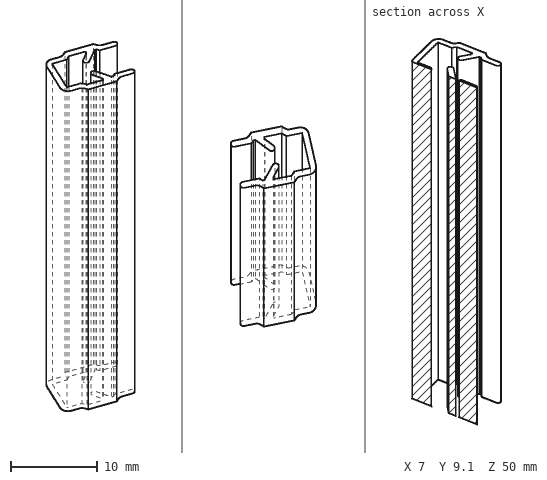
import cadquery as cq
import math

LENGTH = 50.0
WIDTH = 7.0
DEPTH = 9.1

WALL = 0.75
NECK_HALF_WIDTH = 2.95
BASE_CORNER_RADIUS = 1.0

BULGE_BOTTOM = 2.9
BULGE_TOP = 6.5
SHOULDER_RADIUS = 0.8

POCKET_HALF_WIDTH = 2.65
POCKET_BOTTOM = 3.05
POCKET_TOP = 5.15
GROOVE_HALF_WIDTH = 2.5
GROOVE_TOP = 6.45

BARB_THICKNESS = WALL
BARB_ANGLE_DEG = 40.0
BARB_TIP_X = 1.15
BARB_TIP_Y = 4.6

bulge_half_width = WIDTH / 2
arm_inner = NECK_HALF_WIDTH - WALL
arm_tip_radius = WALL / 2
arm_centre = NECK_HALF_WIDTH - arm_tip_radius

cos45 = math.sqrt(0.5)
corner_offset = BASE_CORNER_RADIUS * (1 - cos45)

arc_width = SHOULDER_RADIUS * (1 - cos45)
arc_height = SHOULDER_RADIUS * cos45
arc_mid_width = SHOULDER_RADIUS * (1 - math.cos(math.pi / 8))
arc_mid_height = SHOULDER_RADIUS * math.sin(math.pi / 8)
slope_run = bulge_half_width - NECK_HALF_WIDTH - arc_width
lower_neck_end = BULGE_BOTTOM - slope_run - arc_height
upper_neck_start = BULGE_TOP + slope_run + arc_height

groove_depth = GROOVE_HALF_WIDTH - arm_inner
barb_radius = BARB_THICKNESS / 2
barb_angle = math.radians(BARB_ANGLE_DEG)
tip_cos = barb_radius * math.cos(barb_angle)
tip_sin = barb_radius * math.sin(barb_angle)
barb_slope = math.tan(barb_angle)
barb_half_height = barb_radius / math.cos(barb_angle)
barb_top_y = BARB_TIP_Y + barb_half_height + (GROOVE_HALF_WIDTH - BARB_TIP_X) * barb_slope
barb_root_x = BARB_TIP_X + (POCKET_TOP - BARB_TIP_Y + barb_half_height) / barb_slope


def right_half_profile():
    """Closed outline of the +X half of the section."""
    outline = cq.Workplane("XY").moveTo(0, 0)

    outline = (
        outline.lineTo(NECK_HALF_WIDTH - BASE_CORNER_RADIUS, 0)
        .threePointArc(
            (NECK_HALF_WIDTH - corner_offset, corner_offset),
            (NECK_HALF_WIDTH, BASE_CORNER_RADIUS),
        )
        .lineTo(NECK_HALF_WIDTH, lower_neck_end)
    )

    outline = (
        outline.threePointArc(
            (NECK_HALF_WIDTH + arc_mid_width, lower_neck_end + arc_mid_height),
            (NECK_HALF_WIDTH + arc_width, lower_neck_end + arc_height),
        )
        .lineTo(bulge_half_width, BULGE_BOTTOM)
        .lineTo(bulge_half_width, BULGE_TOP)
        .lineTo(NECK_HALF_WIDTH + arc_width, upper_neck_start - arc_height)
        .threePointArc(
            (NECK_HALF_WIDTH + arc_mid_width, upper_neck_start - arc_mid_height),
            (NECK_HALF_WIDTH, upper_neck_start),
        )
    )

    outline = (
        outline.lineTo(NECK_HALF_WIDTH, DEPTH - arm_tip_radius)
        .threePointArc((arm_centre, DEPTH), (arm_inner, DEPTH - arm_tip_radius))
        .lineTo(arm_inner, GROOVE_TOP + groove_depth)
    )

    outline = (
        outline.lineTo(GROOVE_HALF_WIDTH, GROOVE_TOP)
        .lineTo(GROOVE_HALF_WIDTH, barb_top_y)
        .lineTo(BARB_TIP_X - tip_sin, BARB_TIP_Y + tip_cos)
        .threePointArc(
            (BARB_TIP_X - tip_cos, BARB_TIP_Y - tip_sin),
            (BARB_TIP_X + tip_sin, BARB_TIP_Y - tip_cos),
        )
        .lineTo(barb_root_x, POCKET_TOP)
        .lineTo(POCKET_HALF_WIDTH, POCKET_TOP)
    )

    return (
        outline.lineTo(POCKET_HALF_WIDTH, POCKET_BOTTOM)
        .lineTo(arm_inner, POCKET_BOTTOM - (POCKET_HALF_WIDTH - arm_inner))
        .lineTo(arm_inner, WALL)
        .lineTo(0, WALL)
        .close()
    )


right_half = right_half_profile().extrude(LENGTH)
result = right_half.union(right_half.mirror("YZ")).clean()